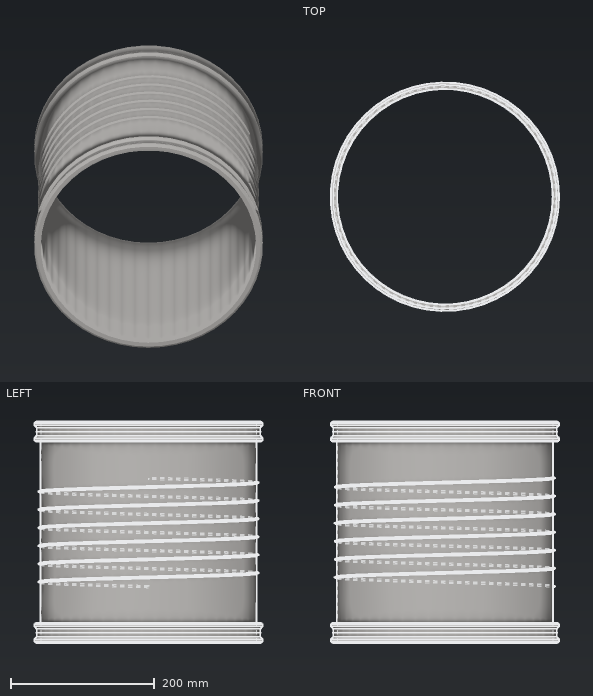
import cadquery as cq

outer_diameter = 318.5
total_height = 309

bore_diameter = 300.0
tube_diameter = 302.0
seam_pitch = 25.0
seam_turns = 6
seam_projection = 3.0
seam_width = 3.5
seam_root_depth = 0.3

collar_height = 28.5
groove_diameter = 311.7
rim_outer_chamfer = 2.5
rim_land = 2.5
rim_inner_slope = 3.8
rib_width = 0.3
rib_projection = 0.5

bore_radius = bore_diameter / 2
tube_radius = tube_diameter / 2
rim_radius = outer_diameter / 2
groove_radius = groove_diameter / 2
seam_height = seam_pitch * seam_turns
seam_start = (total_height - seam_height) / 2


def make_collar(base_height):
    """Ring with two rims and a fine rib between them, symmetric about its middle height."""
    middle = collar_height / 2
    land_start = rim_outer_chamfer
    land_end = land_start + rim_land
    groove_start = land_end + rim_inner_slope
    rib_start = middle - rib_width / 2
    lower_points = [
        (bore_radius, 0),
        (groove_radius, 0),
        (rim_radius, land_start),
        (rim_radius, land_end),
        (groove_radius, groove_start),
        (groove_radius, rib_start),
        (groove_radius + rib_projection, rib_start),
    ]
    upper_points = [(radius, collar_height - height) for radius, height in reversed(lower_points)]
    return (
        cq.Workplane("XZ")
        .polyline(lower_points + upper_points)
        .close()
        .revolve(360, (0, 0, 0), (0, 1, 0))
        .translate((0, 0, base_height))
    )


def make_seam():
    """Right-handed triangular ridge that starts and ends on the +X side."""
    root_radius = tube_radius - seam_root_depth
    path = cq.Wire.makeHelix(seam_pitch, seam_height, tube_radius)
    return (
        cq.Workplane("XZ")
        .moveTo(root_radius, -seam_width / 2)
        .lineTo(tube_radius + seam_projection, 0)
        .lineTo(root_radius, seam_width / 2)
        .close()
        .sweep(cq.Workplane(path), isFrenet=True)
        .translate((0, 0, seam_start))
    )


def make_duct():
    """Tube between the two collars, with its spiral seam."""
    tube = (
        cq.Workplane("XY", origin=(0, 0, collar_height))
        .circle(tube_radius)
        .circle(bore_radius)
        .extrude(total_height - 2 * collar_height)
    )
    return tube.union(make_seam()).solids()


duct = make_duct()
collars = [make_collar(base) for base in (0, total_height - collar_height)]

result = cq.Compound.makeCompound([duct.val(), *[collar.val() for collar in collars]])